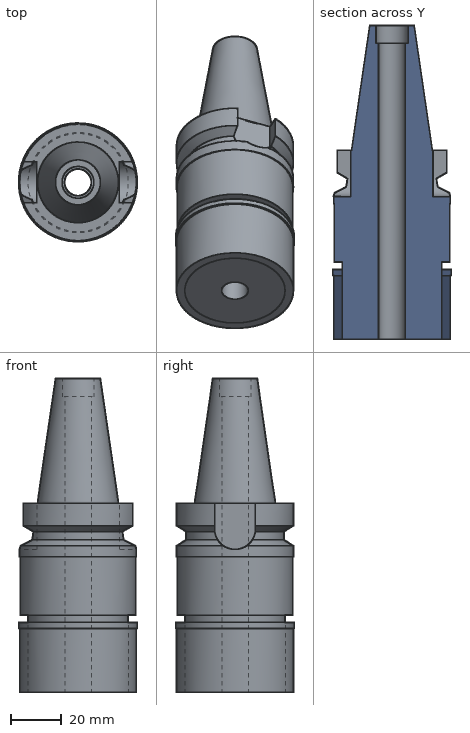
import cadquery as cq
import math


TOTAL_HEIGHT = 123.4
TAPER_LENGTH = 48.4
GAUGE_Z = TOTAL_HEIGHT - TAPER_LENGTH
GAUGE_RADIUS = 31.75 / 2
TAPER_RATIO = 7 / 24
SHANK_TOP_RADIUS = GAUGE_RADIUS - TAPER_LENGTH * TAPER_RATIO / 2

FLANGE_RADIUS = 23.0
FLANGE_TOP_Z = 74.4
GROOVE_FLOOR_RADIUS = 19.3
GROOVE_FLOOR_TOP_Z = 63.2
GROOVE_FLOOR_BOTTOM_Z = 59.9
GROOVE_SIDE_ANGLE = 32.0
GROOVE_SIDE_HEIGHT = (FLANGE_RADIUS - GROOVE_FLOOR_RADIUS) * math.tan(math.radians(GROOVE_SIDE_ANGLE))
GROOVE_TOP_Z = GROOVE_FLOOR_TOP_Z + GROOVE_SIDE_HEIGHT
GROOVE_BOTTOM_Z = GROOVE_FLOOR_BOTTOM_Z - GROOVE_SIDE_HEIGHT
FLANGE_BOTTOM_Z = 53.2

SLOT_WIDTH = 16.1
SLOT_FLOOR_X = 16.2
SLOT_BOTTOM_Z = 56.2
SLOT_CENTER_Z = SLOT_BOTTOM_Z + SLOT_WIDTH / 2

BARREL_RADIUS = 22.75
BARREL_BOTTOM_Z = 30.4
NOSE_RADIUS = 19.7

SOCKET_RADIUS = 6.25
SOCKET_DEPTH = 7.0
BORE_RADIUS = 5.2

RING_RADIUS = 46.7 / 2
RING_TOP_Z = 27.5
RING_CHAMFER = 0.3

NUT_RADIUS = 23.0
NUT_HEIGHT = 25.0


def make_holder():
    """Taper shank, grooved flange, barrel and nose, turned in one piece."""
    profile = [
        (0, 0),
        (NOSE_RADIUS, 0),
        (NOSE_RADIUS, BARREL_BOTTOM_Z),
        (BARREL_RADIUS, BARREL_BOTTOM_Z),
        (BARREL_RADIUS, FLANGE_BOTTOM_Z),
        (FLANGE_RADIUS, FLANGE_BOTTOM_Z),
        (FLANGE_RADIUS, GROOVE_BOTTOM_Z),
        (GROOVE_FLOOR_RADIUS, GROOVE_FLOOR_BOTTOM_Z),
        (GROOVE_FLOOR_RADIUS, GROOVE_FLOOR_TOP_Z),
        (FLANGE_RADIUS, GROOVE_TOP_Z),
        (FLANGE_RADIUS, FLANGE_TOP_Z),
        (GAUGE_RADIUS, FLANGE_TOP_Z),
        (GAUGE_RADIUS, GAUGE_Z),
        (SHANK_TOP_RADIUS, TOTAL_HEIGHT),
        (0, TOTAL_HEIGHT),
    ]
    holder = cq.Workplane("XZ").polyline(profile).close().revolve(360, (0, 0, 0), (0, 1, 0))
    for side in (-1, 1):
        holder = holder.cut(make_drive_slot(side))

    bore = cq.Workplane("XY").circle(BORE_RADIUS).extrude(TOTAL_HEIGHT)
    socket = (
        cq.Workplane("XY")
        .workplane(offset=TOTAL_HEIGHT - SOCKET_DEPTH)
        .circle(SOCKET_RADIUS)
        .extrude(SOCKET_DEPTH)
    )
    return holder.cut(bore).cut(socket)


def make_drive_slot(side):
    """Cutter for a round-bottomed slot, open at the top; side is -1 for -X or 1 for +X."""
    half_width = SLOT_WIDTH / 2
    return (
        cq.Workplane("YZ")
        .workplane(offset=side * SLOT_FLOOR_X)
        .moveTo(-half_width, FLANGE_TOP_Z)
        .lineTo(-half_width, SLOT_CENTER_Z)
        .threePointArc((0, SLOT_BOTTOM_Z), (half_width, SLOT_CENTER_Z))
        .lineTo(half_width, FLANGE_TOP_Z)
        .close()
        .extrude(side * FLANGE_RADIUS)
    )


def make_ring():
    """Thin ring on the nose, resting on the nut, with its lower outer edge chamfered."""
    return (
        cq.Workplane("XY")
        .workplane(offset=NUT_HEIGHT)
        .circle(RING_RADIUS)
        .extrude(RING_TOP_Z - NUT_HEIGHT)
        .faces("<Z")
        .chamfer(RING_CHAMFER)
        .cut(cq.Workplane("XY").circle(NOSE_RADIUS).extrude(RING_TOP_Z))
    )


def make_nut():
    """Plain sleeve around the nose, flush with its end."""
    return cq.Workplane("XY").circle(NUT_RADIUS).circle(NOSE_RADIUS).extrude(NUT_HEIGHT)


holder = make_holder()
ring = make_ring()
nut = make_nut()

result = cq.Compound.makeCompound([holder.val(), ring.val(), nut.val()])